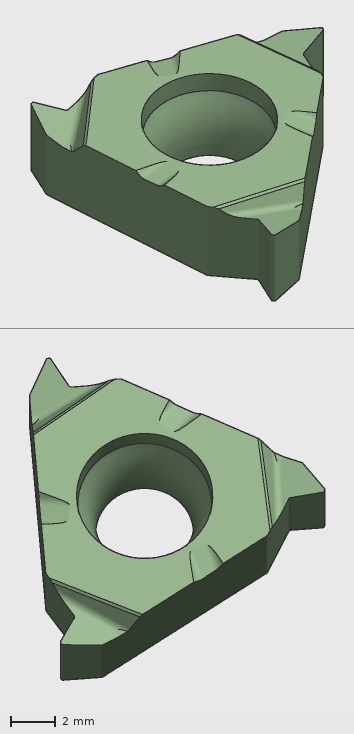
import cadquery as cq
import math

CORNERS = 3
CORNER_STEP = 360 / CORNERS
THICKNESS = 4.2

INRADIUS = 4.76
SHOULDER_Y = 5.85
TIP_Y = 7.19
OUTER_FLANK = 6.93
INNER_FLANK = 0.4
TIP_RADIUS = 0.07
CORNER_RADIUS = 0.25
NOTCH_RADIUS = 0.11

RAKE_ANGLE = 14.6
TIP_DROP = 0.17
WALL_START_Y = 3.4
WALL_DIRECTION = 32.2
WALL_ANGLE = 54
LIP_WIDTH = 0.13
LIP_DEPTH = 0.08
GROOVE_RADIUS = 0.4
GROOVE_MAX_DEPTH = 0.82
CUT_REACH = 11.3
CUT_HEIGHT = 1.41

NOTCH_END = (-3.46, -0.58)
NOTCH_DIRECTION = 166
NOTCH_SLOPE = 10.6
NOTCH_FLOOR = 0.62
NOTCH_SIDE_RADIUS = 0.5
NOTCH_SIDE_ANGLE = 40
NOTCH_SIDE_HEIGHT = 0.7
NOTCH_LENGTH = 2.12

HOLE_RADIUS = 4.4 / 2
MOUTH_RADIUS = 3.08
MOUTH_END_RADIUS = 3.02
MOUTH_DEPTH = 0.99
SEAT_RADIUS = 2.91
SEAT_DEPTH = 1.2
SEAT_END_DEPTH = 3.53


def rotate_point(point, degrees):
    angle = math.radians(degrees)
    x, y = point
    return (x * math.cos(angle) - y * math.sin(angle), x * math.sin(angle) + y * math.cos(angle))


def around(body):
    """Copies of a body, one per cutting corner."""
    return [body.rotate((0, 0, 0), (0, 0, 1), i * CORNER_STEP) for i in range(CORNERS)]


def make_blank():
    sin60 = math.sin(math.radians(60))
    side_end = (-INRADIUS, 2 * (OUTER_FLANK - sin60 * INRADIUS))
    tip_outer = ((TIP_Y / 2 - OUTER_FLANK) / sin60, TIP_Y)
    tip_inner = ((INNER_FLANK - TIP_Y / 2) / sin60, TIP_Y)
    notch = ((INNER_FLANK - SHOULDER_Y / 2) / sin60, SHOULDER_Y)
    shoulder_end = (2 * (INRADIUS - sin60 * SHOULDER_Y), SHOULDER_Y)
    corner = [side_end, tip_outer, tip_inner, notch, shoulder_end]

    outline = [rotate_point(p, -i * CORNER_STEP) for i in range(CORNERS) for p in corner]
    blank = cq.Workplane("XY").polyline(outline).close().extrude(THICKNESS)

    radii = (CORNER_RADIUS, TIP_RADIUS, TIP_RADIUS, NOTCH_RADIUS, CORNER_RADIUS)
    for index, point in enumerate(outline):
        near = cq.selectors.NearestToPointSelector((*point, THICKNESS / 2))
        blank = blank.edges("|Z").edges(near).fillet(radii[index % len(corner)])
    return blank


def make_groove_cutter():
    ceiling = THICKNESS + CUT_HEIGHT
    tip_z = THICKNESS - TIP_DROP
    fall = math.tan(math.radians(RAKE_ANGLE))
    above_rake = (
        cq.Workplane("YZ")
        .polyline([
            (TIP_Y - CUT_REACH, tip_z - CUT_REACH * fall),
            (TIP_Y + CUT_HEIGHT, tip_z + CUT_HEIGHT * fall),
            (TIP_Y + CUT_HEIGHT, ceiling),
            (TIP_Y - CUT_REACH, ceiling),
        ])
        .close()
        .extrude(CUT_REACH, both=True)
    )

    angle = math.radians(WALL_DIRECTION)
    wall_plane = cq.Plane(
        origin=(-INRADIUS, WALL_START_Y, THICKNESS),
        xDir=(-math.sin(angle), math.cos(angle), 0),
        normal=(math.cos(angle), math.sin(angle), 0),
    )
    wall_drop = THICKNESS - LIP_DEPTH
    wall_run = wall_drop / math.tan(math.radians(WALL_ANGLE))
    beyond_wall = (
        cq.Workplane(wall_plane)
        .polyline([
            (0, CUT_HEIGHT),
            (0, 0),
            (LIP_WIDTH, -LIP_DEPTH),
            (LIP_WIDTH + wall_run, -THICKNESS),
            (CUT_REACH, -THICKNESS),
            (CUT_REACH, CUT_HEIGHT),
        ])
        .close()
        .extrude(CUT_REACH, both=True)
    )

    cutter = above_rake.intersect(beyond_wall)
    valley = cq.selectors.NearestToPointSelector((-INRADIUS / 2, SHOULDER_Y, 0))
    cutter = cutter.edges(valley).fillet(GROOVE_RADIUS)
    depth_limit = (
        cq.Workplane("XY", origin=(0, 0, THICKNESS - GROOVE_MAX_DEPTH))
        .rect(2 * CUT_REACH, 2 * CUT_REACH)
        .extrude(GROOVE_MAX_DEPTH + CUT_HEIGHT)
    )
    return cutter.intersect(depth_limit)


def make_notch_cutter():
    heading = math.radians(NOTCH_DIRECTION)
    slope = math.radians(NOTCH_SLOPE)
    plane = cq.Plane(
        origin=(*NOTCH_END, THICKNESS),
        xDir=(-math.sin(heading), math.cos(heading), 0),
        normal=(
            math.cos(heading) * math.cos(slope),
            math.sin(heading) * math.cos(slope),
            -math.sin(slope),
        ),
    )

    def side_point(degrees):
        """Point on the rounded side, turned up from the floor by an angle."""
        turn = math.radians(degrees)
        return (
            NOTCH_FLOOR / 2 + NOTCH_SIDE_RADIUS * math.sin(turn),
            NOTCH_SIDE_RADIUS * (1 - math.cos(turn)),
        )

    mid_x, mid_y = side_point(NOTCH_SIDE_ANGLE / 2)
    end_x, end_y = side_point(NOTCH_SIDE_ANGLE)
    top_x = end_x + (NOTCH_SIDE_HEIGHT - end_y) / math.tan(math.radians(NOTCH_SIDE_ANGLE))
    return (
        cq.Workplane(plane)
        .moveTo(-NOTCH_FLOOR / 2, 0)
        .lineTo(NOTCH_FLOOR / 2, 0)
        .threePointArc((mid_x, mid_y), (end_x, end_y))
        .lineTo(top_x, NOTCH_SIDE_HEIGHT)
        .lineTo(-top_x, NOTCH_SIDE_HEIGHT)
        .lineTo(-end_x, end_y)
        .threePointArc((-mid_x, mid_y), (-NOTCH_FLOOR / 2, 0))
        .close()
        .extrude(NOTCH_LENGTH)
    )


def make_hole_cutter():
    run = SEAT_RADIUS - HOLE_RADIUS
    drop = SEAT_END_DEPTH - SEAT_DEPTH
    bulge = (run**2 + drop**2) / (2 * run)
    half_turn = math.asin(drop / bulge) / 2
    seat_end_z = THICKNESS - SEAT_END_DEPTH
    seat_middle = (
        HOLE_RADIUS + bulge * (1 - math.cos(half_turn)),
        seat_end_z + bulge * math.sin(half_turn),
    )
    return (
        cq.Workplane("XZ")
        .lineTo(HOLE_RADIUS, 0)
        .lineTo(HOLE_RADIUS, seat_end_z)
        .threePointArc(seat_middle, (SEAT_RADIUS, THICKNESS - SEAT_DEPTH))
        .lineTo(MOUTH_END_RADIUS, THICKNESS - MOUTH_DEPTH)
        .lineTo(MOUTH_RADIUS, THICKNESS)
        .lineTo(0, THICKNESS)
        .close()
        .revolve(360, (0, 0), (0, 1))
    )


result = make_blank().cut(make_hole_cutter())
for cutter in around(make_groove_cutter()) + around(make_notch_cutter()):
    result = result.cut(cutter)